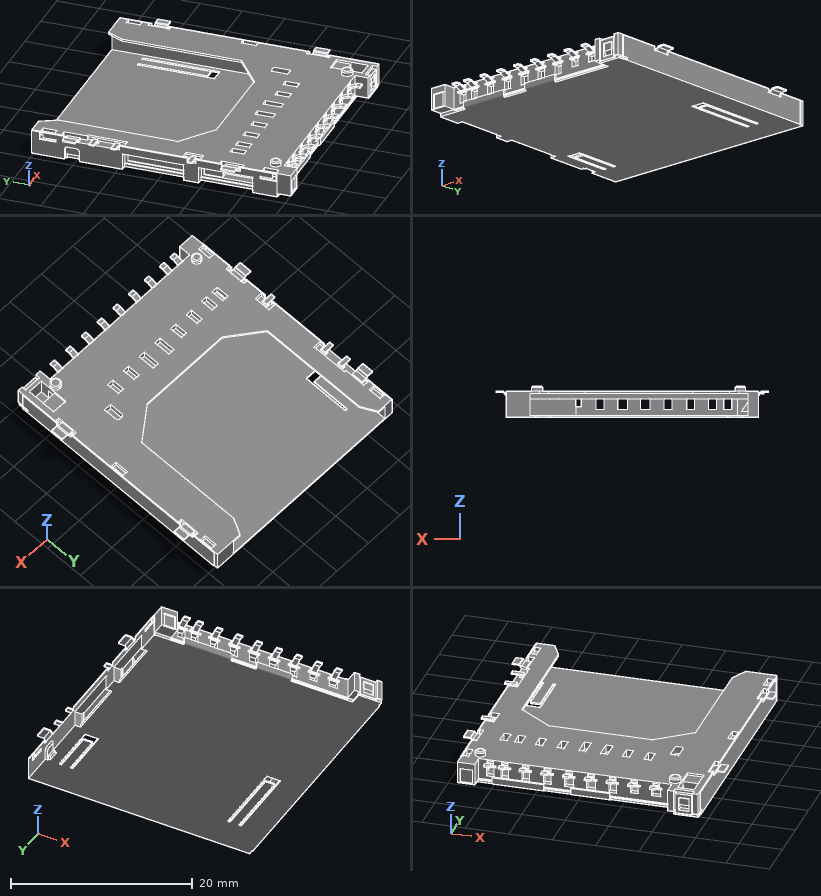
import cadquery as cq

LENGTH = 30.5
TAB_SPAN = 30.0
SHELL_WIDTH = 27.88
HOUSING_WIDTH = 27.7
COVER_TOP = 2.9
PEG_TOP = 3.45

ENTRY_Y = LENGTH / 2
TAIL_Y = -LENGTH / 2
REAR_Y = -13.72
SHELL_X = SHELL_WIDTH / 2
HOUSING_X = HOUSING_WIDTH / 2

FLOOR = 0.18
COVER_THICKNESS = 0.25
CAVITY_LEFT = -12.75
CAVITY_RIGHT = 11.3
CAVITY_REAR_Y = -13.1
INSULATOR_Z = 2.05
INSULATOR_FRONT_Y = -4.27

BAY_LEFT = -10.75
BAY_RIGHT = 9.25
BAY_MOUTH_FLARE = 1.0
BAY_FLARE_Y = 13.3
BAY_CHAMFER_X = 4.03
BAY_CHAMFER_Y = -0.8
BAY_REAR_Y = -3.8

SLOT_REVEAL = 0.25
LEFT_SLOT_REAR_Y = 5.43
RIGHT_SLOT_REAR_Y = 2.32

PEGS = [(-11.93, 0.58), (10.5, 0.65)]

CONTACT_PITCH = 2.5
FIRST_CONTACTS = [-10.52, -8.85]
PITCHED_CONTACTS = [-6.45 + i * CONTACT_PITCH for i in range(7)]
CONTACTS = FIRST_CONTACTS + PITCHED_CONTACTS
LONG_WINDOW_CONTACTS = PITCHED_CONTACTS[2:4]
EJECTOR_SIDE_CONTACTS = PITCHED_CONTACTS[5:]
WIDE_HOLE_CONTACTS = LONG_WINDOW_CONTACTS + PITCHED_CONTACTS[-1:]
WINDOW_WIDTH = 0.8
WINDOW_REAR_Y = -8.63
WINDOW_FRONT_Y = -7.0
LONG_WINDOW_FRONT_Y = -6.53
LEAD_WIDTH = 0.7
LEAD_THICKNESS = 0.18
LEAD_END_Y = -15.13
LEAD_LOW_Z = 2.25
LEAD_FOOT_Z = 2.65
BAR_WIDTH = 1.4
BAR_HEIGHT = 0.15
BAR_OVERHANG = 0.15
HOLE_BOTTOM = 0.88
HOLE_TOP = 2.0
SHORT_HOLE_BOTTOM = 1.2
HOLE_WIDTH = 0.85
WIDE_HOLE_WIDTH = 1.05

LEFT_TAIL_INNER_X = -11.83
RIGHT_TAIL_INNER_X = 10.37
TAIL_BOTTOM = 0.37

POCKET_FLOOR = 2.38
TAB_Y = [(9.73, 11.22), (-9.03, -7.4)]
TAB_THICKNESS = 0.15
TAB_RISE = 0.25
TAB_BEND_X = 14.2
TAB_ROOT_X = 13.33
SIDE_LEAD_Y = [8.0, 5.4, -3.55]
SIDE_LEAD_WIDTH = 0.58
SIDE_LEAD_Z = 2.6
SIDE_LEAD_TIP_X = -14.52
SIDE_LEAD_ROOT_X = -13.2
SIDE_LEAD_ROOT_WIDTH = 0.82
SLIT_DEPTH = 0.18
SECOND_WINDOW_REAR_Y = -10.8


def box(x0, x1, y0, y1, z0, z1):
    """Axis-aligned block between two opposite corners."""
    return cq.Workplane("XY").box(x1 - x0, y1 - y0, z1 - z0, centered=False).translate((x0, y0, z0))


def centred_x_box(x, width, y0, y1, z0, z1):
    return box(x - width / 2, x + width / 2, y0, y1, z0, z1)


def centred_y_box(y, width, x0, x1, z0, z1):
    return box(x0, x1, y - width / 2, y + width / 2, z0, z1)


def make_body():
    """Hollow housing, shell side plates and the two rear tails."""
    left_plate_rear_y = -13.63
    right_plate_rear_y = -14.52
    plate_front_y = 14.75
    plate_top = 2.85
    body = box(-HOUSING_X, HOUSING_X, REAR_Y, ENTRY_Y, 0, COVER_TOP)
    body = body.union(box(-SHELL_X, -HOUSING_X, left_plate_rear_y, ENTRY_Y, 0, plate_top))
    body = body.union(box(-HOUSING_X, LEFT_TAIL_INNER_X, TAIL_Y, REAR_Y, TAIL_BOTTOM, COVER_TOP))
    body = body.union(box(RIGHT_TAIL_INNER_X, HOUSING_X, TAIL_Y, REAR_Y, TAIL_BOTTOM, COVER_TOP))
    body = body.union(box(HOUSING_X, SHELL_X, right_plate_rear_y, plate_front_y, 0, plate_top))
    plate_end_y = -15.13
    plate_left = 10.98
    body = body.union(box(plate_left, HOUSING_X, plate_end_y, REAR_Y, 0, FLOOR))
    body = body.union(box(plate_left, HOUSING_X, plate_end_y, plate_end_y + FLOOR, 0, TAIL_BOTTOM))
    cavity = box(CAVITY_LEFT, CAVITY_RIGHT, CAVITY_REAR_Y, ENTRY_Y, FLOOR, COVER_TOP - COVER_THICKNESS)
    body = body.cut(cavity)
    insulator = box(CAVITY_LEFT, CAVITY_RIGHT, CAVITY_REAR_Y, INSULATOR_FRONT_Y, INSULATOR_Z, COVER_TOP)
    return body.union(insulator)


def cut_card_bay(body):
    """Large opening in the cover that exposes the floor."""
    bay = (
        cq.Workplane("XY")
        .workplane(offset=COVER_TOP - COVER_THICKNESS)
        .polyline([
            (BAY_LEFT - BAY_MOUTH_FLARE, ENTRY_Y),
            (BAY_LEFT, BAY_FLARE_Y),
            (BAY_LEFT, BAY_CHAMFER_Y),
            (BAY_LEFT + BAY_CHAMFER_X, BAY_REAR_Y),
            (BAY_RIGHT - BAY_CHAMFER_X, BAY_REAR_Y),
            (BAY_RIGHT, BAY_CHAMFER_Y),
            (BAY_RIGHT, BAY_FLARE_Y),
            (BAY_RIGHT + BAY_MOUTH_FLARE, ENTRY_Y),
        ])
        .close()
        .extrude(COVER_THICKNESS)
    )
    return body.cut(bay)


def spring_slot(inner_x, outward, rear_y):
    """U-shaped slot that frees a spring tongue in the floor."""
    front_y = 11.38
    slot_width = 0.27
    slot_span = 1.68
    end_width = 0.9
    outer_x = inner_x + outward * slot_span
    left, right = sorted((inner_x, outer_x))
    tongue = box(left + slot_width, right - slot_width, rear_y + end_width, front_y, 0, FLOOR)
    return box(left, right, rear_y, front_y, 0, FLOOR).cut(tongue)


def cut_contact_windows(body):
    """Row of windows above the contact beams, the last one with rounded front corners."""
    for x in CONTACTS[:-1]:
        front_y = LONG_WINDOW_FRONT_Y if x in LONG_WINDOW_CONTACTS else WINDOW_FRONT_Y
        body = body.cut(centred_x_box(x, WINDOW_WIDTH, WINDOW_REAR_Y, front_y, INSULATOR_Z, COVER_TOP))
    last_width = 0.95
    last_rear_y = -6.65
    last_front_y = -4.65
    corner_radius = 0.3
    last = centred_x_box(CONTACTS[-1], last_width, last_rear_y, last_front_y, INSULATOR_Z, COVER_TOP)
    return body.cut(last.edges("|Z and >Y").fillet(corner_radius))


def cut_rear_holes(body):
    """Openings through the rear wall, one below each contact, with a notch above."""
    notch_width = 0.73
    notch_depth = 0.18
    notch_top = 2.75
    for x in CONTACTS:
        width = WIDE_HOLE_WIDTH if x in WIDE_HOLE_CONTACTS else HOLE_WIDTH
        bottom = SHORT_HOLE_BOTTOM if x in EJECTOR_SIDE_CONTACTS else HOLE_BOTTOM
        body = body.cut(centred_x_box(x, width, REAR_Y, CAVITY_REAR_Y, bottom, HOLE_TOP))
        body = body.cut(centred_x_box(x, notch_width, REAR_Y, REAR_Y + notch_depth, LEAD_LOW_Z, notch_top))
    return body


def make_contact(x):
    """Gull-wing lead and the retaining bar at its root."""
    root_y = CAVITY_REAR_Y
    ramp_end_y = -14.58
    lead = (
        cq.Workplane("YZ")
        .polyline([
            (root_y, LEAD_LOW_Z),
            (REAR_Y, LEAD_LOW_Z),
            (ramp_end_y, LEAD_FOOT_Z),
            (LEAD_END_Y, LEAD_FOOT_Z),
            (LEAD_END_Y, LEAD_FOOT_Z + LEAD_THICKNESS),
            (ramp_end_y, LEAD_FOOT_Z + LEAD_THICKNESS),
            (REAR_Y, LEAD_LOW_Z + LEAD_THICKNESS),
            (root_y, LEAD_LOW_Z + LEAD_THICKNESS),
        ])
        .close()
        .extrude(LEAD_WIDTH / 2, both=True)
        .translate((x, 0, 0))
    )
    bar_bottom = LEAD_LOW_Z - BAR_HEIGHT
    bar = centred_x_box(x, BAR_WIDTH, REAR_Y - BAR_OVERHANG, CAVITY_REAR_Y, bar_bottom, LEAD_LOW_Z)
    return lead.union(bar)


def add_rear_plate(body):
    """Groove above the bottom plate and upturned lips of the plate against the rear wall."""
    groove_bottom = 0.25
    groove_top = 0.4
    groove_depth = 0.12
    body = body.cut(box(LEFT_TAIL_INNER_X, RIGHT_TAIL_INNER_X, REAR_Y, REAR_Y + groove_depth,
                        groove_bottom, groove_top))
    lip_height = 0.85
    lip_thickness = 0.25
    bend_radius = 0.2
    for x0, x1 in [(-10.25, -4.3), (-1.2, 3.25)]:
        lip = box(x0, x1, REAR_Y - lip_thickness, REAR_Y, 0, lip_height)
        body = body.union(lip.edges("|X and <Y and <Z").fillet(bend_radius))
    return body


def make_peg(x, radius):
    """Locating peg with a chamfered top."""
    peg_y = -12.75
    peg_chamfer = 0.15
    peg = cq.Workplane("XY").workplane(offset=COVER_TOP).center(x, peg_y)
    return peg.circle(radius).extrude(PEG_TOP - COVER_TOP).faces(">Z").chamfer(peg_chamfer)


def cut_edge_pockets(body):
    """Pockets along both side edges of the cover."""
    pocket_outer_x = 13.72
    corner_x = 13.05
    tab_pocket_x = TAB_ROOT_X
    lead_pocket_x = 12.8
    tab_pocket_rear = (-9.55, -6.9)
    entry_pocket = (12.6, 14.2)
    pockets = [
        (-1, corner_x, *entry_pocket),
        (-1, corner_x, 9.0, 11.75),
        (-1, lead_pocket_x, 4.4, 9.0),
        (-1, lead_pocket_x, -4.58, -2.53),
        (-1, tab_pocket_x, *tab_pocket_rear),
        (-1, corner_x, -13.5, -11.85),
        (1, corner_x, *entry_pocket),
        (1, tab_pocket_x, 9.25, 11.75),
        (1, corner_x, -1.07, 0.67),
        (1, tab_pocket_x, *tab_pocket_rear),
    ]
    for side, inner_x, y0, y1 in pockets:
        x0, x1 = sorted((side * inner_x, side * pocket_outer_x))
        body = body.cut(box(x0, x1, y0, y1, POCKET_FLOOR, COVER_TOP))

    notches = [
        (-1, 4.9, 11.5),
        (-1, -4.12, -3.05),
        (-1, -9.3, -7.1),
        (1, 9.5, 11.5),
        (1, -9.3, -7.1),
    ]
    for side, y0, y1 in notches:
        x0, x1 = sorted((side * pocket_outer_x, side * SHELL_X))
        body = body.cut(box(x0, x1, y0, y1, POCKET_FLOOR, COVER_TOP))
    return body


def make_solder_tab(side, y0, y1):
    """Side tab that bends upward out of the shell and then runs flat."""
    tip_x = TAB_SPAN / 2
    low_top = COVER_TOP - TAB_RISE
    tab = (
        cq.Workplane("XZ")
        .polyline([
            (side * TAB_ROOT_X, POCKET_FLOOR),
            (side * SHELL_X, POCKET_FLOOR),
            (side * TAB_BEND_X, COVER_TOP - TAB_THICKNESS),
            (side * tip_x, COVER_TOP - TAB_THICKNESS),
            (side * tip_x, COVER_TOP),
            (side * TAB_BEND_X, COVER_TOP),
            (side * SHELL_X, low_top),
            (side * TAB_ROOT_X, low_top),
        ])
        .close()
        .extrude(y0 - y1)
    )
    return tab.translate((0, y0, 0))


def make_side_lead(y):
    """Switch lead that leaves the housing on the -X side."""
    top = SIDE_LEAD_Z + TAB_THICKNESS
    neck_x = -13.5
    lead = centred_y_box(y, SIDE_LEAD_WIDTH, SIDE_LEAD_TIP_X, SIDE_LEAD_ROOT_X, SIDE_LEAD_Z, top)
    root = centred_y_box(y, SIDE_LEAD_ROOT_WIDTH, neck_x, SIDE_LEAD_ROOT_X, POCKET_FLOOR, SIDE_LEAD_Z)
    return lead.union(root)


def cut_left_wall(body):
    """Latch slits, arched recess and the two windows of the -X side wall."""
    slit_inner_x = -SHELL_X + SLIT_DEPTH
    slit_z0 = 1.92
    slit_z1 = 2.2
    slit_width = 0.43
    slit_leg_top = 2.8
    entry_slit_front_y = 14.35
    rear_slit_rear_y = -13.55
    slits = [
        (12.38, entry_slit_front_y, entry_slit_front_y - slit_width),
        (rear_slit_rear_y, -11.65, rear_slit_rear_y),
    ]
    for y0, y1, leg_y in slits:
        body = body.cut(box(-SHELL_X, slit_inner_x, y0, y1, slit_z0, slit_z1))
        body = body.cut(box(-SHELL_X, slit_inner_x, leg_y, leg_y + slit_width, slit_z1, slit_leg_top))

    arch_y = 10.5
    arch_width = 1.77
    arch_top = 1.55
    arch_radius = 0.4
    arch_depth = 0.3
    arch = centred_y_box(arch_y, arch_width, -SHELL_X, -SHELL_X + arch_depth, 0, arch_top)
    body = body.cut(arch.edges("|X and >Z").fillet(arch_radius))
    foot_width = 1.4
    foot_depth = 0.55
    foot_height = 0.52
    body = body.cut(centred_y_box(arch_y, foot_width, -SHELL_X, -SHELL_X + foot_depth, 0, foot_height))

    window_top = 1.92
    window_floor_x = -12.93
    ledge_x = -13.25
    inner_ledge_x = -13.05
    ledge_top = 0.37
    end_step = 0.3
    for y0, y1 in [(-2.65, 4.55), (SECOND_WINDOW_REAR_Y, -4.42)]:
        body = body.cut(box(-SHELL_X, ledge_x, y0, y1, 0, window_top))
        body = body.cut(box(-SHELL_X, inner_ledge_x, y0, y1, ledge_top, window_top))
        body = body.cut(box(-SHELL_X, window_floor_x, y0, y1 - end_step, ledge_top + end_step, window_top))

    slope_front_y = -6.9
    thick_wall_x = -11.6
    slope_foot_x = -12.05
    body = body.union(box(CAVITY_LEFT, thick_wall_x, SECOND_WINDOW_REAR_Y, slope_front_y, FLOOR, INSULATOR_Z))
    slope = (
        cq.Workplane("XZ", origin=(0, slope_front_y, 0))
        .polyline([
            (ledge_x, window_top),
            (window_floor_x, window_top),
            (slope_foot_x, ledge_top + end_step),
            (ledge_x, ledge_top + end_step),
        ])
        .close()
        .extrude(slope_front_y - SECOND_WINDOW_REAR_Y)
    )
    return body.cut(slope)


def cut_left_tail(body):
    """Shallow square recess in the rear face of the left tail."""
    recess_left, recess_right = -13.5, -12.1
    recess_bottom, recess_top = 0.45, 2.15
    recess_end_y = TAIL_Y + SLIT_DEPTH
    return body.cut(box(recess_left, recess_right, TAIL_Y, recess_end_y, recess_bottom, recess_top))


def cut_ejector(body):
    """Stepped window in the cover over the ejector slider, and the slider's rear face."""
    window_left, window_right = 11.22, 13.1
    window_rear_y, window_step_y, window_front_y = -14.25, -12.23, -10.52
    deep_floor = 0.6
    body = body.cut(box(window_left, window_right, window_step_y, window_front_y,
                        COVER_TOP - COVER_THICKNESS, COVER_TOP))
    body = body.cut(box(window_left, window_right, window_rear_y, window_step_y, deep_floor, COVER_TOP))

    frame_depth = 0.55
    slider_gap = 0.15
    head_setback = 0.05
    frame_left, frame_right = 11.05, 13.25
    frame_bottom = 0.2
    slider_top = 2.6
    body = body.cut(box(frame_left, frame_right, TAIL_Y, TAIL_Y + frame_depth, frame_bottom, COVER_TOP))
    head = box(frame_left + slider_gap, frame_right - slider_gap, TAIL_Y + head_setback, TAIL_Y + frame_depth,
               frame_bottom, slider_top)
    body = body.union(head)

    grip_left, grip_right = 11.62, 12.78
    grip_bottom, grip_step, grip_top = 0.6, 1.25, 2.15
    shallow, deep = 0.18, 0.73
    body = body.cut(box(grip_left, grip_right, TAIL_Y, TAIL_Y + shallow, grip_bottom, grip_top))
    overhang = (
        cq.Workplane("YZ", origin=(grip_left, 0, 0))
        .polyline([
            (TAIL_Y + shallow, grip_step),
            (TAIL_Y + deep, grip_bottom),
            (TAIL_Y + shallow, grip_bottom),
        ])
        .close()
        .extrude(grip_right - grip_left)
    )
    return body.cut(overhang)


def make_slider_arm():
    """Arm of the ejector that reaches across the rear of the cavity."""
    arm_left = 6.22
    arm_rear_y, arm_front_y = -11.6, -10.05
    return box(arm_left, CAVITY_RIGHT, arm_rear_y, arm_front_y, FLOOR, INSULATOR_Z)


result = make_body()
result = cut_card_bay(result)
result = result.cut(spring_slot(BAY_LEFT + SLOT_REVEAL, -1, LEFT_SLOT_REAR_Y))
result = result.cut(spring_slot(BAY_RIGHT - SLOT_REVEAL, 1, RIGHT_SLOT_REAR_Y))
result = cut_contact_windows(result)
result = cut_rear_holes(result)
result = add_rear_plate(result)
result = cut_left_wall(result)
result = cut_edge_pockets(result)
result = cut_left_tail(result)
result = cut_ejector(result)
result = result.union(make_slider_arm())
for contact_x in CONTACTS:
    result = result.union(make_contact(contact_x))
for peg_x, peg_radius in PEGS:
    result = result.union(make_peg(peg_x, peg_radius))
for tab_rear_y, tab_front_y in TAB_Y:
    for tab_side in (-1, 1):
        result = result.union(make_solder_tab(tab_side, tab_rear_y, tab_front_y))
for lead_y in SIDE_LEAD_Y:
    result = result.union(make_side_lead(lead_y))